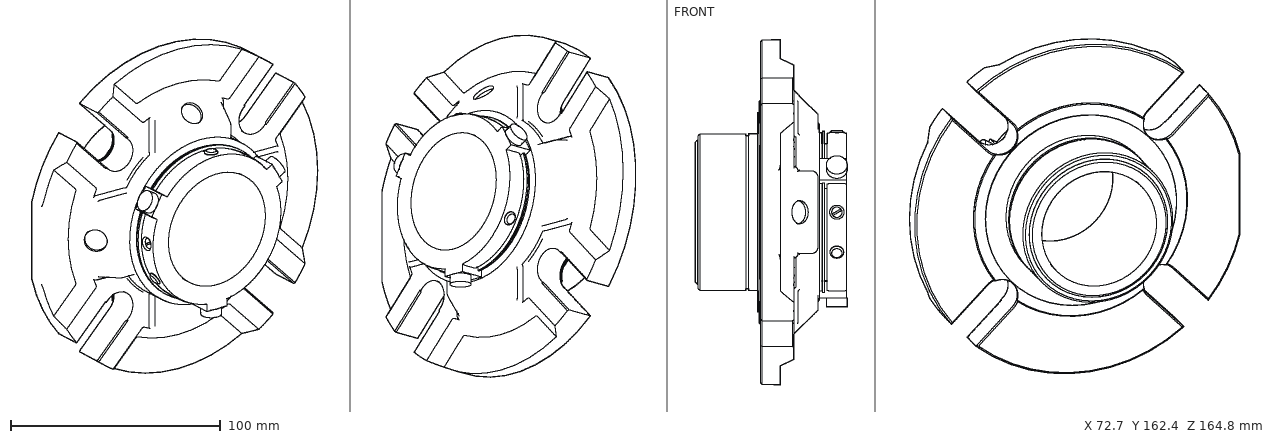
import cadquery as cq
import math

bore_diameter = 57.2

spigot_diameter = 69.0
spigot_end = 1.3
spigot_chamfer = 1.2
sleeve_diameter = 74.8
sleeve_chamfer = 1.0
sleeve_collar_diameter = 75.0
groove_diameter = 73.2
groove_start = 24.2
groove_end = 25.5

pilot_start = 29.8
pilot_diameter = 95.3
shoulder_start = 30.5
shoulder_diameter = 106.8
shoulder_chamfer = 0.5
flange_start = 31.2
rim_end = 40.7
pad_end = 47.1
flange_diameter = 164.8
flat_distance = 80.0
rim_chamfer = 0.8
edge_chamfer = 0.7
flat_edge_radius = 1.0

slot_angles = (45, 135, 225, 315)
slot_half_width = 8.5
slot_tip_radius = 47.8
pad_half_width_at_rim = 25.2
pad_half_width_at_top = 19.3

hub_diameter = 84.0
hub_end = 59.3
cone_radius_at_pads = 58.4
lobe_end = 58.7
short_lobe_end = 55.4
lobe_half_width = 19.8
lobe_root_radius = 2.0
lobe_corner_radius = 3.3
core_foot_radius = 1.0
pad_foot_radius = 2.0
lobe_crest_radius = 0.7
port_diameter = 11.0
port_depth = 1.8
side_port_x = 50.1
top_port_x = 52.3

plate_diameter = 76.2
plate_end = 60.5
disc_diameter = 77.6
disc_start = 60.8
disc_end = 61.8
neck_diameter = 65.6
collar_diameter = 76.2
collar_start = 63.0
collar_end = 72.4
collar_bevel_length = 1.3
collar_bevel_depth = 0.3

clip_angles = (30, 150, 270)
clip_half_width = 6.0
clip_inner_radius = 33.0
clip_outer_radius = 41.0
clip_head_diameter = 10.0
clip_head_radius = 45.2
set_screw_angles = (90, 210, 330)
set_screw_diameter = 6.6
set_screw_top_radius = 39.0
set_screw_chamfer = 0.8
slotted_pin_diameter = 5.0
slotted_pin_sink = 1.0
pin_slot_length = 4.6
pin_slot_width = 0.8
pin_slot_angle = 30

flange_radius = flange_diameter / 2
slot_centre_radius = slot_tip_radius + slot_half_width
fastener_x = (collar_start + collar_end) / 2
tool_reach = flange_radius + 16.5
bevel_angle = 45
tolerance = 0.02


def ring(start, end, diameter):
    """Solid cylinder about X between two stations."""
    return cq.Workplane("YZ", origin=(start, 0, 0)).circle(diameter / 2).extrude(end - start)


def turn(solid, angle):
    """Turn a solid about X; 0 keeps it, +90 carries -Y to +Z."""
    return solid.rotate((0, 0, 0), (1, 0, 0), -angle)


def radial_plane(x, radius):
    """Plane at the given radius on the -Y side, with its normal pointing outward."""
    return cq.Workplane(cq.Plane(origin=(x, -radius, 0), xDir=(1, 0, 0), normal=(0, -1, 0)))


def make_sleeve():
    spigot = ring(0, spigot_end, spigot_diameter).faces("<X").chamfer(spigot_chamfer)
    body = ring(spigot_end, groove_start, sleeve_diameter).faces("<X").chamfer(sleeve_chamfer)
    groove = ring(groove_start, groove_end, groove_diameter)
    collar = ring(groove_end, pilot_start, sleeve_collar_diameter)
    return spigot.union(body).union(groove).union(collar)


def slot_tool(start, length, half_width, taper=0):
    """Round-ended slot on the -Y side, open at the rim."""
    inner = -slot_centre_radius
    profile = (
        cq.Workplane("YZ", origin=(start, 0, 0))
        .moveTo(-tool_reach, -half_width)
        .lineTo(inner, -half_width)
        .threePointArc((inner + half_width, 0), (inner, half_width))
        .lineTo(-tool_reach, half_width)
        .close()
    )
    return profile.extrude(length, taper=taper)


def make_pad():
    """Raised pad round one bolt slot, with sides leaning in towards its top."""
    points = [
        (rim_end, -pad_half_width_at_rim),
        (pad_end, -pad_half_width_at_top),
        (pad_end, pad_half_width_at_top),
        (rim_end, pad_half_width_at_rim),
    ]
    block = radial_plane(0, 0).polyline(points).close().extrude(tool_reach)
    return block.intersect(ring(rim_end, pad_end, flange_diameter))


def make_flange():
    flange = ring(flange_start, rim_end, flange_diameter)
    flat = cq.Workplane("XY").box(tool_reach, tool_reach, 2 * tool_reach)
    flange = flange.cut(flat.translate((flange_start, -flat_distance - tool_reach / 2, 0)))
    flange = flange.faces("<X").chamfer(rim_chamfer)
    flat_back = cq.selectors.NearestToPointSelector((rim_end, -flat_distance, 0))
    flange = flange.edges(flat_back).fillet(flat_edge_radius)
    for angle in slot_angles:
        flange = flange.union(turn(make_pad(), angle))

    lip_half_width = slot_half_width + edge_chamfer
    front_lip = slot_tool(flange_start, edge_chamfer, lip_half_width, bevel_angle)
    back_lip = slot_tool(pad_end, -edge_chamfer, lip_half_width, bevel_angle)
    for angle in slot_angles:
        flange = flange.cut(turn(front_lip, angle)).cut(turn(back_lip, angle))

    shoulder = ring(shoulder_start, flange_start, shoulder_diameter)
    shoulder = shoulder.faces("<X").chamfer(shoulder_chamfer)
    flange = flange.union(shoulder).union(ring(pilot_start, shoulder_start, pilot_diameter))
    through_slot = slot_tool(pilot_start, pad_end - pilot_start, slot_half_width)
    for angle in slot_angles:
        flange = flange.cut(turn(through_slot, angle))
    return flange


def make_lobe(end):
    """Straight lobe on the -Y side with a flared root and rounded end corners."""
    root = lobe_root_radius
    corner = lobe_corner_radius
    half = lobe_half_width
    profile = (
        radial_plane(0, 0)
        .moveTo(rim_end, -half - root)
        .lineTo(pad_end, -half - root)
        .radiusArc((pad_end + root, -half), -root)
        .lineTo(end - corner, -half)
        .radiusArc((end, -half + corner), -corner)
        .lineTo(end, half - corner)
        .radiusArc((end - corner, half), -corner)
        .lineTo(pad_end + root, half)
        .radiusArc((pad_end, half + root), -root)
        .lineTo(rim_end, half + root)
        .close()
    )
    return profile.extrude(tool_reach)


def make_cone():
    """45 degree cone that shapes the back of the gland, with its seam in a bolt slot."""
    large_radius = cone_radius_at_pads + pad_end - rim_end
    small_radius = cone_radius_at_pads + pad_end - lobe_end
    points = [(rim_end, 0), (rim_end, large_radius), (lobe_end, small_radius), (lobe_end, 0)]
    cone = cq.Workplane("XY").polyline(points).close().revolve(360, (0, 0, 0), (1, 0, 0))
    return turn(cone, slot_angles[0])


def port_tool(x):
    """Blind port on the -Y side, square to the gland cone."""
    radius = cone_radius_at_pads + pad_end - x
    plane = cq.Plane(origin=(x, -radius, 0), xDir=(0, 0, 1), normal=(1, -1, 0))
    return cq.Workplane(plane).circle(port_diameter / 2).extrude(port_depth, both=True)


def is_core_foot(edge):
    """True for edges where the hub core meets the pads or the lobe walls."""
    radii = [math.hypot(edge.positionAt(t).y, edge.positionAt(t).z) for t in (0, 0.5, 1)]
    on_core = all(abs(radius - hub_diameter / 2) < tolerance for radius in radii)
    middle_x = edge.positionAt(0.5).x
    return on_core and pad_end - tolerance < middle_x < lobe_end + tolerance


def make_hub():
    blank = ring(rim_end, pad_end, flange_diameter)
    for angle in (0, 90, 270):
        blank = blank.union(turn(make_lobe(lobe_end), angle))
    blank = blank.union(turn(make_lobe(short_lobe_end), 180))
    hub = make_cone().intersect(blank).union(ring(rim_end, hub_end, hub_diameter))
    foot_edges = [edge for edge in hub.edges().vals() if is_core_foot(edge)]
    hub = hub.newObject(foot_edges).fillet(core_foot_radius)
    crest_edges = [edge for edge in hub.edges().vals() if is_lobe_crest(edge)]
    hub = hub.newObject(crest_edges).fillet(lobe_crest_radius)
    hub = hub.cut(port_tool(side_port_x)).cut(turn(port_tool(top_port_x), 90))
    through_slot = slot_tool(rim_end, pad_end - rim_end, slot_half_width)
    for angle in slot_angles:
        hub = hub.cut(turn(through_slot, angle))
    return hub


def is_on_cone(point):
    """True for points on the surface of the gland cone."""
    return abs(math.hypot(point.y, point.z) + point.x - cone_radius_at_pads - pad_end) < tolerance


def is_lobe_crest(edge):
    """True for edges where the gland cone meets the sides and ends of the lobes."""
    on_cone = all(is_on_cone(edge.positionAt(t)) for t in (0, 0.5, 1))
    return on_cone and edge.positionAt(0.5).x > pad_end + tolerance


def is_pad_foot(edge):
    """True for edges where the pad sides meet the gland cone."""
    ends = (edge.startPoint(), edge.endPoint())
    spans_pad = abs(abs(ends[0].x - ends[1].x) - (pad_end - rim_end)) < tolerance
    in_slot = abs(abs(ends[0].y) - abs(ends[0].z)) < 2 * slot_half_width
    return is_on_cone(ends[0]) and is_on_cone(ends[1]) and spans_pad and not in_slot


def make_collar():
    collar = ring(collar_start, collar_end, collar_diameter)
    collar = collar.faces("<X").chamfer(collar_bevel_length, collar_bevel_depth)
    collar = collar.faces(">X").chamfer(collar_bevel_length, collar_bevel_depth)
    collar = collar.union(ring(hub_end, plate_end, plate_diameter))
    collar = collar.union(ring(hub_end, collar_start, neck_diameter))
    return collar.union(ring(disc_start, disc_end, disc_diameter))


def make_clip():
    """Setting clip with its round screw head, on the -Y side."""
    block = radial_plane((hub_end + collar_end) / 2, clip_inner_radius).rect(
        collar_end - hub_end, 2 * clip_half_width
    )
    block = block.extrude(clip_outer_radius - clip_inner_radius)
    head = radial_plane(fastener_x, clip_outer_radius).circle(clip_head_diameter / 2)
    return block.union(head.extrude(clip_head_radius - clip_outer_radius))


def make_set_screw():
    screw = radial_plane(fastener_x, clip_inner_radius).circle(set_screw_diameter / 2)
    screw = screw.extrude(set_screw_top_radius - clip_inner_radius)
    return screw.faces("<Y").chamfer(set_screw_chamfer)


def slotted_pin_tool():
    """Countersink down to the pin head, plus the driver slot across it."""
    surface = collar_diameter / 2
    head = surface - slotted_pin_sink
    sink = radial_plane(fastener_x, head).circle(slotted_pin_diameter / 2)
    sink = sink.extrude(2 * slotted_pin_sink, taper=-bevel_angle)
    slot = radial_plane(fastener_x, head).rect(pin_slot_length, pin_slot_width)
    slot = slot.extrude(-slotted_pin_sink)
    slot = slot.rotate((fastener_x, 0, 0), (fastener_x, 1, 0), -pin_slot_angle)
    return sink.union(slot)


gland = make_flange().union(make_hub())
pad_foot_edges = [edge for edge in gland.edges().vals() if is_pad_foot(edge)]
gland = gland.newObject(pad_foot_edges).fillet(pad_foot_radius)
result = make_sleeve().union(gland).union(make_collar())
for clip_angle in clip_angles:
    result = result.union(turn(make_clip(), clip_angle))
for screw_angle in set_screw_angles:
    result = result.union(turn(make_set_screw(), screw_angle))
result = result.cut(slotted_pin_tool())
result = result.cut(ring(0, collar_end, bore_diameter))